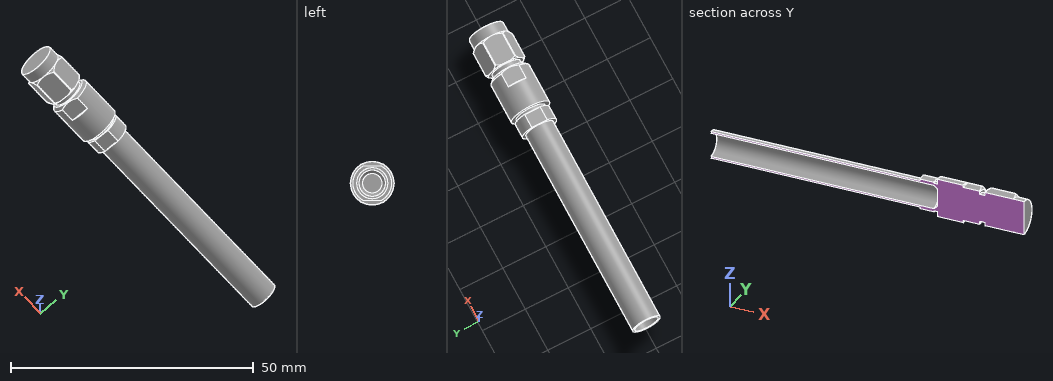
import cadquery as cq
import math


total_length = 71.3
collar_start = 47.6
collar_end = 50.8
body_start = 51.6
wrench_flat_start = 57.5
body_end = 61.25
nut_start = 62.4
nut_shoulder = 68.9

tube_radius = 3.2
collar_radius = 4.0
rear_neck_radius = 3.35
body_radius = 4.5
front_neck_radius = 3.3
nut_nose_radius = 4.0
nut_corner_radius = 4.6

collar_across_flats = 7.1
body_across_flats = 8.0
nut_across_flats = 8.0

body_bevel = 0.65
nut_rear_bevel = 0.4
nose_bevel = 0.3
nose_bevel_depth = 0.1

bore_radius = 2.7
bore_depth = collar_end
bore_step_radius = 2.2
bore_floor_radius = 2.0
cone_length = 0.6
floor_cone_length = 0.2


def cylinder(start, end, radius):
    """Solid cylinder on the X axis between two stations."""
    return cq.Workplane("YZ", origin=(start, 0, 0)).circle(radius).extrude(end - start)


def revolve_outline(points):
    """Solid of revolution about X from (station, radius) points."""
    return cq.Workplane("XY").polyline(points).close().revolve(360, (0, 0, 0), (1, 0, 0))


def cut_to_flats(solid, start, end, across_flats):
    """Trim the top and bottom to two flats between two stations."""
    stock_depth = body_radius
    for side in (1, -1):
        trim = cq.Workplane("XY").box(end - start, 4 * body_radius, stock_depth).translate(
            ((start + end) / 2, 0, side * (across_flats + stock_depth) / 2)
        )
        solid = solid.cut(trim)
    return solid


def make_collar():
    collar = cylinder(collar_start, collar_end, collar_radius)
    return cut_to_flats(collar, collar_start, collar_end, collar_across_flats)


def make_body():
    body = cylinder(body_start, body_end, body_radius).faces(">X").chamfer(body_bevel)
    return cut_to_flats(body, wrench_flat_start, body_end, body_across_flats)


def make_nut():
    """Hexagon with two corners on Y, rounded off by a bevelled envelope, plus its nose."""
    across_corners = nut_across_flats / math.cos(math.pi / 6)
    hexagon = (
        cq.Workplane("YZ", origin=(nut_start, 0, 0))
        .polygon(6, across_corners)
        .extrude(nut_shoulder - nut_start)
    )
    front_bevel = nut_corner_radius - nut_nose_radius
    envelope = revolve_outline([
        (nut_start, 0),
        (nut_start, nut_corner_radius - nut_rear_bevel),
        (nut_start + nut_rear_bevel, nut_corner_radius),
        (nut_shoulder - front_bevel, nut_corner_radius),
        (nut_shoulder, nut_nose_radius),
        (nut_shoulder, 0),
    ])
    nose = revolve_outline([
        (nut_start + nut_rear_bevel, 0),
        (nut_start + nut_rear_bevel, front_neck_radius),
        (nut_shoulder - front_bevel, nut_nose_radius),
        (total_length - nose_bevel, nut_nose_radius),
        (total_length, nut_nose_radius - nose_bevel_depth),
        (total_length, 0),
    ])
    return hexagon.intersect(envelope).union(nose)


def make_bore():
    cone_end = bore_depth + cone_length
    floor = cone_end + floor_cone_length
    return revolve_outline([
        (0, 0),
        (0, bore_radius),
        (bore_depth, bore_radius),
        (cone_end, bore_step_radius),
        (floor, bore_floor_radius),
        (floor, 0),
    ])


tube = cylinder(0, collar_start, tube_radius)
rear_neck = cylinder(collar_end, body_start, rear_neck_radius)
front_neck = cylinder(body_end, nut_start, front_neck_radius)

result = tube
for section in (make_collar(), rear_neck, make_body(), front_neck, make_nut()):
    result = result.union(section)
result = result.cut(make_bore())